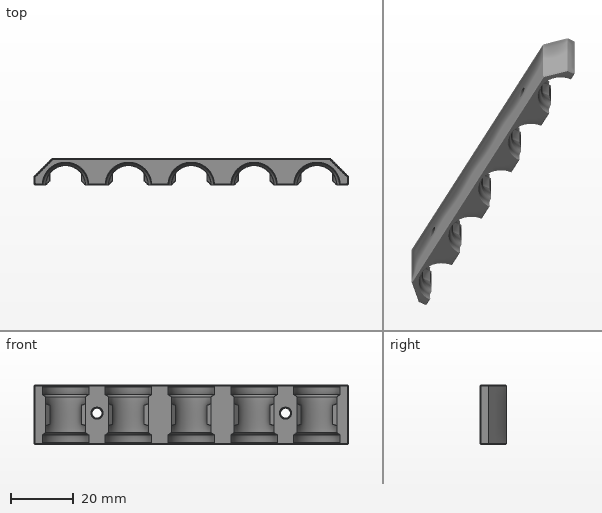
import cadquery as cq
import math

LENGTH = 100.0
DEPTH = 8.45
HEIGHT = 19.0
END_BEVEL = 5.75
EDGE_CHAMFER = 0.35

CRADLE_COUNT = 5
CRADLE_PITCH = LENGTH / CRADLE_COUNT
AXIS_OFFSET = 0.15
BORE_RADIUS = 6.35
SEAT_RADIUS = 7.4
SEAT_LENGTH = 3.0
TAPER_LENGTH = 0.8
BEAD_HEIGHT = 0.2
BEAD_WIDTH = 0.6

TAB_HALF_GAP = 5.0
TAB_TIP_HEIGHT = 6.0
TAB_END_SLOPE = 0.35
TAB_LEAD_IN = math.sqrt(BORE_RADIUS**2 - AXIS_OFFSET**2) - TAB_HALF_GAP

SCREW_DIAMETER = 3.2
SCREW_CHAMFER = 0.3
SCREW_LEVEL = 10.0
SCREW_POSITIONS = (CRADLE_PITCH, LENGTH - CRADLE_PITCH)


def make_bar():
    """Bar with beveled back corners and broken end and front edges."""
    bar = (
        cq.Workplane("XY")
        .polyline([
            (0, 0),
            (LENGTH, 0),
            (LENGTH, DEPTH - END_BEVEL),
            (LENGTH - END_BEVEL, DEPTH),
            (END_BEVEL, DEPTH),
            (0, DEPTH - END_BEVEL),
        ])
        .close()
        .extrude(HEIGHT)
    )
    bar = bar.edges("|Z and <Y").chamfer(EDGE_CHAMFER)
    return bar.faces("<Z or >Z").chamfer(EDGE_CHAMFER)


def make_cradle_cutter(center_x):
    """Round cutter: a wide seat at each end tapering to the bore, with a bead narrowing each mouth."""
    bore_start = SEAT_LENGTH + TAPER_LENGTH
    bead_radius = SEAT_RADIUS - BEAD_HEIGHT
    bead_crest = BEAD_WIDTH / 2
    return (
        cq.Workplane("XZ")
        .polyline([
            (0, 0),
            (SEAT_RADIUS, 0),
            (bead_radius, bead_crest),
            (SEAT_RADIUS, BEAD_WIDTH),
            (SEAT_RADIUS, SEAT_LENGTH),
            (BORE_RADIUS, bore_start),
            (BORE_RADIUS, HEIGHT - bore_start),
            (SEAT_RADIUS, HEIGHT - SEAT_LENGTH),
            (SEAT_RADIUS, HEIGHT - BEAD_WIDTH),
            (bead_radius, HEIGHT - bead_crest),
            (SEAT_RADIUS, HEIGHT),
            (0, HEIGHT),
        ])
        .close()
        .revolve(360, (0, 0, 0), (0, 1, 0))
        .translate((center_x, -AXIS_OFFSET, 0))
    )


def make_tab(center_x, side):
    """Tab on one side (-1 or +1) of a cradle, rooted in the bore wall."""
    tab_length = SEAT_RADIUS - TAB_HALF_GAP
    wall_half_height = TAB_TIP_HEIGHT / 2 + TAB_END_SLOPE * tab_length
    tip_x = center_x + side * TAB_HALF_GAP
    root_x = center_x + side * SEAT_RADIUS
    middle_z = HEIGHT / 2
    tab_depth = math.sqrt(BORE_RADIUS**2 - TAB_HALF_GAP**2)
    side_profile = (
        cq.Workplane("XZ")
        .polyline([
            (tip_x, middle_z - TAB_TIP_HEIGHT / 2),
            (root_x, middle_z - wall_half_height),
            (root_x, middle_z + wall_half_height),
            (tip_x, middle_z + TAB_TIP_HEIGHT / 2),
        ])
        .close()
        .extrude(-tab_depth)
    )
    lead_in = (
        cq.Workplane("XY")
        .polyline([
            (tip_x, 0),
            (tip_x + side * TAB_LEAD_IN, 0),
            (tip_x, TAB_LEAD_IN),
        ])
        .close()
        .extrude(HEIGHT)
    )
    return side_profile.cut(lead_in)


def make_screw_cutter(center_x):
    """Through hole along Y with a small chamfer at the front face."""
    hole_radius = SCREW_DIAMETER / 2
    return (
        cq.Workplane("XY")
        .polyline([
            (0, 0),
            (hole_radius + SCREW_CHAMFER, 0),
            (hole_radius, SCREW_CHAMFER),
            (hole_radius, DEPTH),
            (0, DEPTH),
        ])
        .close()
        .revolve(360, (0, 0, 0), (0, 1, 0))
        .translate((center_x, 0, SCREW_LEVEL))
    )


result = make_bar()
for index in range(CRADLE_COUNT):
    cradle_x = CRADLE_PITCH * (index + 0.5)
    result = result.cut(make_cradle_cutter(cradle_x))
    for tab_side in (-1, 1):
        result = result.union(make_tab(cradle_x, tab_side))
for screw_x in SCREW_POSITIONS:
    result = result.cut(make_screw_cutter(screw_x))